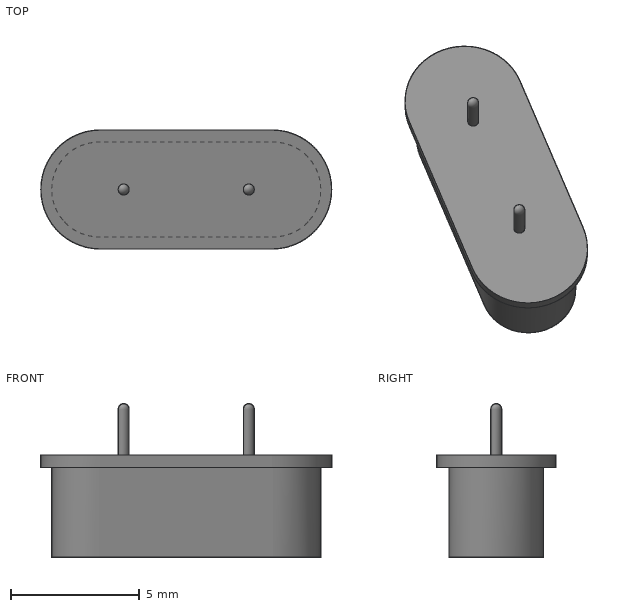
import cadquery as cq

can_length = 10.5
can_width = 3.7
can_height = 3.5

flange_length = 11.35
flange_width = 4.65
flange_thickness = 0.5

pin_spacing = 4.88
pin_diameter = 0.43
pin_height = 2.0

flange_base_z = can_height
flange_top_z = flange_base_z + flange_thickness


def obround(length, width, height, base_z):
    """Plate with straight sides along X and full-round ends."""
    return cq.Workplane("XY").workplane(offset=base_z).slot2D(length, width).extrude(height)


def pin(center_x):
    """Vertical lead with a hemispherical upper end, revolved about its own axis."""
    radius = pin_diameter / 2
    tip_z = flange_top_z + pin_height
    shoulder_z = tip_z - radius
    half_profile = (
        cq.Workplane("XZ")
        .moveTo(0, flange_base_z)
        .lineTo(-radius, flange_base_z)
        .lineTo(-radius, shoulder_z)
        .radiusArc((0, tip_z), radius)
        .close()
    )
    lead = half_profile.revolve(360, (0, 0, 0), (0, 1, 0))
    return lead.translate((center_x, 0, 0))


can = obround(can_length, can_width, can_height, 0)
flange = obround(flange_length, flange_width, flange_thickness, flange_base_z)

result = can.union(flange)
for side in (-1, 1):
    result = result.union(pin(side * pin_spacing / 2))